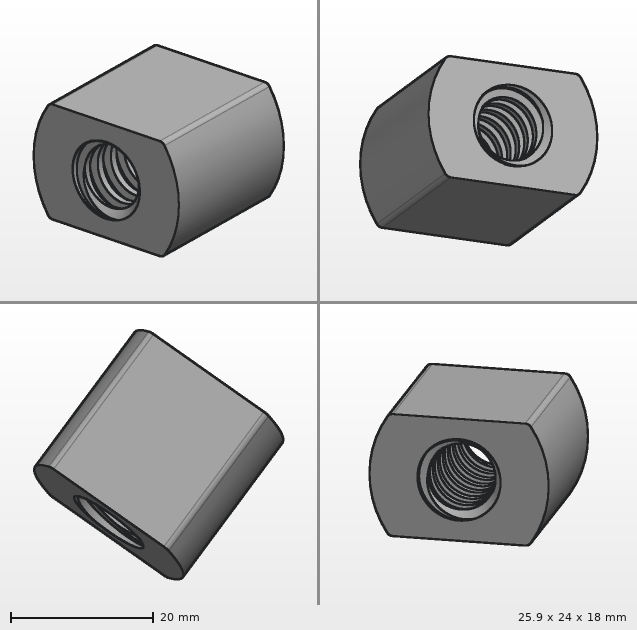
import cadquery as cq

width = 25.9
length = 24.0
height = 18.0
side_radius = 15.53
edge_fillet = 1.0

minor_radius = 4.76
lead_in_radius = 6.0
major_radius = 5.98
lead_in = lead_in_radius - minor_radius

pitch = 3.0
root_width = 1.3
mouth_width = 1.75
groove_phase = 0.3
start_angle = 180.0
mouth_overlap = 0.2


def make_block():
    """Intersect two offset cylinders with the flat faces, then round the long edges."""
    centre_offset = side_radius - width / 2
    block = cq.Workplane("XZ").rect(width, height).extrude(length / 2, both=True)
    for side in (-1, 1):
        cylinder = (
            cq.Workplane("XZ")
            .center(side * centre_offset, 0)
            .circle(side_radius)
            .extrude(length / 2, both=True)
        )
        block = block.intersect(cylinder)
    return block.edges("|Y").edges(">Z or <Z").fillet(edge_fillet)


def make_bore():
    """Revolve the bore and its two conical lead-ins about Y."""
    end = length / 2
    bore = (
        cq.Workplane("XY")
        .moveTo(0, -end)
        .lineTo(lead_in_radius, -end)
        .lineTo(minor_radius, -end + lead_in)
        .lineTo(minor_radius, end - lead_in)
        .lineTo(lead_in_radius, end)
        .lineTo(0, end)
        .close()
        .revolve(360, (0, 0, 0), (0, 1, 0))
    )
    return bore.rotate((0, 0, 0), (0, 1, 0), start_angle + 90)


def make_groove():
    """Sweep the groove section along a helix that runs past both end faces."""
    start = groove_phase - 2 * pitch
    turns = int(length / pitch) + 4
    flank_slope = (mouth_width - root_width) / (major_radius - minor_radius) / 2
    inner_half = mouth_width / 2 + flank_slope * mouth_overlap
    inner_radius = minor_radius - mouth_overlap
    helix = cq.Wire.makeHelix(pitch, turns * pitch, minor_radius)
    groove = (
        cq.Workplane("XZ")
        .moveTo(inner_radius, -inner_half)
        .lineTo(major_radius, -root_width / 2)
        .lineTo(major_radius, root_width / 2)
        .lineTo(inner_radius, inner_half)
        .close()
        .sweep(cq.Workplane(obj=helix), isFrenet=True)
    )
    groove = groove.rotate((0, 0, 0), (1, 0, 0), -90)
    return groove.rotate((0, 0, 0), (0, 1, 0), start_angle).translate((0, start - length / 2, 0))


result = make_block().cut(make_groove()).cut(make_bore())